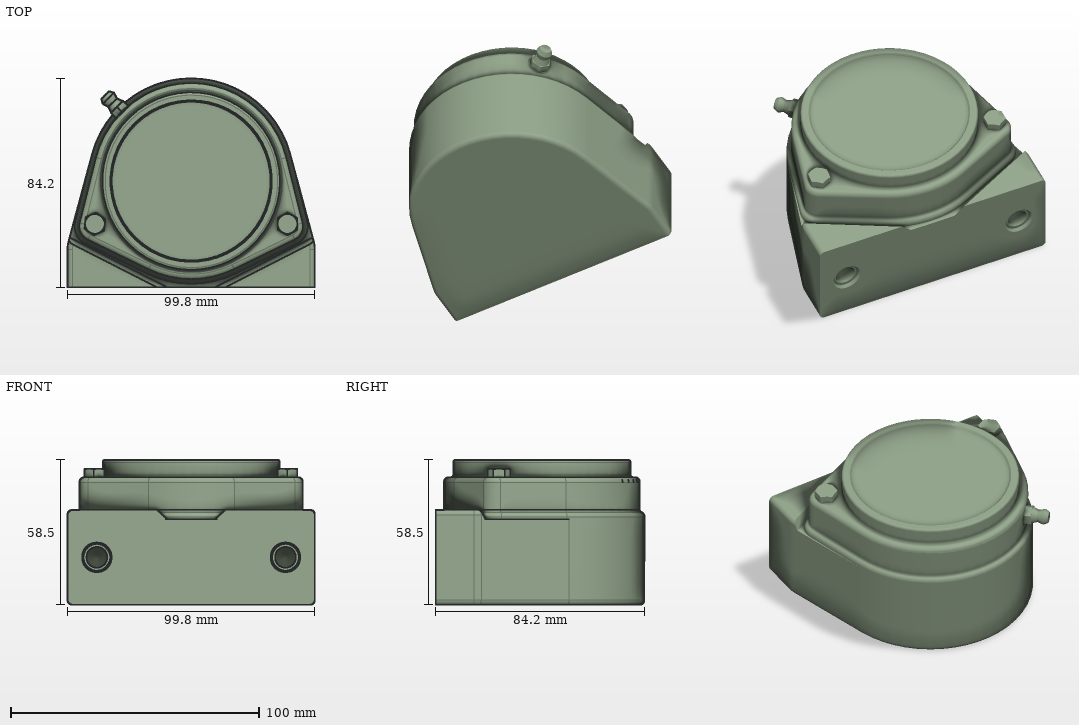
import cadquery as cq
import math


HOUSING_WIDTH = 99.8
HOUSING_HEIGHT = 38.3
BACK_RADIUS = 41.4
MOUNTING_FACE_Y = -42.8
HOUSING_FLANK_ANGLE = 15.1
SHOULDER_BLEND = 11.0
HOUSING_EDGE_ROUND = 2.0

LEDGE_Z = 34.5
RECESS_ANGLE = 27.0
LEDGE_DISTANCE = 42.5
RIM_DISTANCE = 44.4

FLARE_WIDTH = 1.9
FLARE_STRAIGHT = 1.0
FLARE_CONVEX_HEIGHT = 1.8

COVER_RADIUS = BACK_RADIUS - FLARE_WIDTH
COVER_CORNER_RADIUS = 6.0
FLANK_NORMAL = 14.0
FRONT_NORMAL = -64.0
COVER_TOP_Z = 51.5
COVER_EDGE_ROUND = 2.1
BOSS_DIAMETER = 71.6
BOSS_TOP_Z = 58.5
BOSS_TOP_ROUND = 1.0
BOSS_BASE_ROUND = 0.9

CAP_DIAMETER = 64.0
CAP_THICKNESS = 3.0
CAP_SINK = 0.6

MOUNT_HOLE_X = 38.0
MOUNT_HOLE_Z = HOUSING_HEIGHT / 2
MOUNT_DRILL_DIAMETER = 8.4
MOUNT_STEP_DIAMETER = 10.8
MOUNT_MOUTH_DIAMETER = 12.0
MOUNT_STEP_DEPTH = 1.5
MOUNT_DRILL_DEPTH = 20.0
DRILL_POINT_ANGLE = 118.0

HEXAGON_SIDES = 6
BOLT_ACROSS_FLATS = 8.0
BOLT_HEAD_HEIGHT = 3.4
BOLT_HEAD_CHAMFER = 0.3
BOLT_SHANK_DIAMETER = 5.0
BOLT_SHANK_LENGTH = 25.0
BOLT_X = 38.8
BOLT_Y = -17.3
BOLTS = [((-BOLT_X, BOLT_Y), -6.0), ((BOLT_X, BOLT_Y), 0.0)]

NIPPLE_DIRECTION = 135.0
NIPPLE_Z = (HOUSING_HEIGHT + COVER_TOP_Z) / 2
NIPPLE_SEAT_DISTANCE = 39.1
NIPPLE_SEAT_DIAMETER = 9.8
NIPPLE_ACROSS_FLATS = 7.0
NIPPLE_HEX_LENGTH = 3.2
NIPPLE_COLLAR_DIAMETER = 6.7
NIPPLE_NECK_DIAMETER = 5.0
NIPPLE_BULGE_DIAMETER = 6.5
NIPPLE_TIP_DIAMETER = 4.6
NIPPLE_NECK_LENGTH = 2.4
NIPPLE_BULGE_LENGTH = 2.5
NIPPLE_TIP_LENGTH = 1.8
NIPPLE_STEM_DIAMETER = 6.0
NIPPLE_STEM_LENGTH = 5.0


def polar(radius, angle):
    """Point at a radius and an angle in degrees from +X."""
    a = math.radians(angle)
    return (radius * math.cos(a), radius * math.sin(a))


def add(p, q):
    return (p[0] + q[0], p[1] + q[1])


def mirrored(p):
    return (-p[0], p[1])


def across_corners(across_flats):
    """Corner-to-corner size of a hexagon."""
    return across_flats / math.cos(math.pi / HEXAGON_SIDES)


def cover_corner_center():
    """Center of the +X corner arc, tangent to the flank and to the front side."""
    distance = COVER_RADIUS - COVER_CORNER_RADIUS
    half_turn = (FLANK_NORMAL - FRONT_NORMAL) / 2
    middle = (FLANK_NORMAL + FRONT_NORMAL) / 2
    return polar(distance / math.cos(math.radians(half_turn)), middle)


def cover_outline(z):
    """Cover outline: back and front arcs about the axis, joined by flanks and two rounded corners."""
    radius = COVER_RADIUS
    corner = COVER_CORNER_RADIUS
    center = cover_corner_center()
    back_end = polar(radius, FLANK_NORMAL)
    corner_start = add(center, polar(corner, FLANK_NORMAL))
    corner_middle = add(center, polar(corner, (FLANK_NORMAL + FRONT_NORMAL) / 2))
    corner_end = add(center, polar(corner, FRONT_NORMAL))
    front_start = polar(radius, FRONT_NORMAL)
    return (
        cq.Workplane("XY", origin=(0, 0, z))
        .moveTo(*back_end)
        .lineTo(*corner_start)
        .threePointArc(corner_middle, corner_end)
        .lineTo(*front_start)
        .threePointArc((0, -radius), mirrored(front_start))
        .lineTo(*mirrored(corner_end))
        .threePointArc(mirrored(corner_middle), mirrored(corner_start))
        .lineTo(*mirrored(back_end))
        .threePointArc((0, radius), back_end)
        .close()
    )


def housing_block():
    """Block with a flat mounting face, leaning flanks and a round back."""
    half = HOUSING_WIDTH / 2
    lean = math.radians(HOUSING_FLANK_ANGLE)
    shoulder_y = (BACK_RADIUS - half * math.cos(lean)) / math.sin(lean)
    back_start = polar(BACK_RADIUS, HOUSING_FLANK_ANGLE)
    block = (
        cq.Workplane("XY")
        .moveTo(-half, MOUNTING_FACE_Y)
        .lineTo(half, MOUNTING_FACE_Y)
        .lineTo(half, shoulder_y)
        .lineTo(*back_start)
        .threePointArc((0, BACK_RADIUS), mirrored(back_start))
        .lineTo(-half, shoulder_y)
        .close()
        .extrude(HOUSING_HEIGHT)
    )
    for side in (-1, 1):
        shoulder = cq.selectors.NearestToPointSelector((side * half, shoulder_y, HOUSING_HEIGHT / 2))
        block = block.edges("|Z").edges(shoulder).fillet(SHOULDER_BLEND)
    return block.faces("<Z or >Z").edges("not <Y").fillet(HOUSING_EDGE_ROUND)


def seat_recess():
    """Space above the ledge, with a sloped wall along both front sides of the cover."""
    depth = HOUSING_HEIGHT - LEDGE_Z
    wall_lean = math.degrees(math.atan((RIM_DISTANCE - LEDGE_DISTANCE) / depth))
    front = math.radians(RECESS_ANGLE)
    apex_y = -LEDGE_DISTANCE / math.cos(front)
    side_y = apex_y + HOUSING_WIDTH * math.tan(front)
    return (
        cq.Workplane("XY", origin=(0, 0, LEDGE_Z))
        .moveTo(0, apex_y)
        .lineTo(HOUSING_WIDTH, side_y)
        .lineTo(HOUSING_WIDTH, HOUSING_WIDTH)
        .lineTo(-HOUSING_WIDTH, HOUSING_WIDTH)
        .lineTo(-HOUSING_WIDTH, side_y)
        .close()
        .extrude(depth, taper=-wall_lean)
    )


def cover_seat():
    """Pad under the cover whose edge flares out through a concave and a convex arc."""
    foot_z = LEDGE_Z + FLARE_STRAIGHT
    joint = 2 * math.atan(FLARE_WIDTH / (HOUSING_HEIGHT - foot_z))
    joint_z = foot_z + FLARE_CONVEX_HEIGHT
    convex = FLARE_CONVEX_HEIGHT / math.sin(joint)
    concave = (HOUSING_HEIGHT - joint_z) / math.sin(joint)
    joint_out = COVER_RADIUS + concave * (1 - math.cos(joint))
    convex_middle = (BACK_RADIUS - convex * (1 - math.cos(joint / 2)), foot_z + convex * math.sin(joint / 2))
    concave_middle = (
        COVER_RADIUS + concave * (1 - math.cos(joint / 2)),
        HOUSING_HEIGHT - concave * math.sin(joint / 2),
    )
    inner = COVER_RADIUS - FLARE_WIDTH
    side_plane = cq.Plane(
        origin=(0, 0, 0),
        xDir=(*polar(1, FLANK_NORMAL), 0),
        normal=(*polar(1, FLANK_NORMAL - 90.0), 0),
    )
    flare = (
        cq.Workplane(side_plane)
        .moveTo(inner, LEDGE_Z)
        .lineTo(BACK_RADIUS, LEDGE_Z)
        .lineTo(BACK_RADIUS, foot_z)
        .threePointArc(convex_middle, (joint_out, joint_z))
        .threePointArc(concave_middle, (COVER_RADIUS, HOUSING_HEIGHT))
        .lineTo(inner, HOUSING_HEIGHT)
        .close()
        .sweep(cover_outline(LEDGE_Z))
    )
    core = cover_outline(LEDGE_Z).extrude(HOUSING_HEIGHT - LEDGE_Z)
    return core.union(flare)


def mounting_hole(x):
    """Drilled hole with a pointed bottom, a step and a chamfered mouth."""
    drill = MOUNT_DRILL_DIAMETER / 2
    step = MOUNT_STEP_DIAMETER / 2
    mouth = MOUNT_MOUTH_DIAMETER / 2
    point = drill / math.tan(math.radians(DRILL_POINT_ANGLE / 2))
    return (
        cq.Workplane("XY")
        .polyline([
            (0, 0),
            (mouth, 0),
            (step, mouth - step),
            (step, MOUNT_STEP_DEPTH),
            (drill, MOUNT_STEP_DEPTH),
            (drill, MOUNT_DRILL_DEPTH),
            (0, MOUNT_DRILL_DEPTH + point),
        ])
        .close()
        .revolve(360, (0, 0, 0), (0, 1, 0))
        .translate((x, MOUNTING_FACE_Y, MOUNT_HOLE_Z))
    )


def bolt_shank(center):
    return (
        cq.Workplane("XY", origin=(*center, COVER_TOP_Z))
        .circle(BOLT_SHANK_DIAMETER / 2)
        .extrude(-BOLT_SHANK_LENGTH)
    )


def make_bolt(center, turn):
    """Hexagon bolt with chamfered head corners."""
    corners = across_corners(BOLT_ACROSS_FLATS)
    head = (
        cq.Workplane("XY")
        .polygon(HEXAGON_SIDES, corners)
        .extrude(BOLT_HEAD_HEIGHT)
        .rotate((0, 0, 0), (0, 0, 1), 180.0 / HEXAGON_SIDES + turn)
    )
    chamfer_cone = cq.Workplane("XY").circle(corners / 2).extrude(BOLT_HEAD_HEIGHT)
    chamfer_cone = chamfer_cone.faces(">Z").chamfer(BOLT_HEAD_CHAMFER, (corners - BOLT_ACROSS_FLATS) / 2)
    head = head.intersect(chamfer_cone).translate((*center, COVER_TOP_Z))
    return head.union(bolt_shank(center))


def nipple_plane():
    """Plane on the spot face, with its normal along the nipple and its local X along +Z."""
    x, y = polar(NIPPLE_SEAT_DISTANCE, NIPPLE_DIRECTION)
    return cq.Plane(origin=(x, y, NIPPLE_Z), xDir=(0, 0, 1), normal=(*polar(1, NIPPLE_DIRECTION), 0))


def nipple_stem():
    return cq.Workplane(nipple_plane()).circle(NIPPLE_STEM_DIAMETER / 2).extrude(-NIPPLE_STEM_LENGTH)


def make_nipple():
    """Grease nipple: stem, hexagon with a corner pointing up, neck and bulged tip."""
    plane = nipple_plane()
    corners = across_corners(NIPPLE_ACROSS_FLATS)
    hexagon = cq.Workplane(plane).polygon(HEXAGON_SIDES, corners).extrude(NIPPLE_HEX_LENGTH)
    neck_end = NIPPLE_HEX_LENGTH + NIPPLE_NECK_LENGTH
    bulge_end = neck_end + NIPPLE_BULGE_LENGTH
    tip_end = bulge_end + NIPPLE_TIP_LENGTH
    profile_plane = cq.Plane(origin=plane.origin, xDir=plane.xDir, normal=-plane.yDir)
    tip = (
        cq.Workplane(profile_plane)
        .polyline([
            (0, 0),
            (NIPPLE_COLLAR_DIAMETER / 2, 0),
            (NIPPLE_COLLAR_DIAMETER / 2, NIPPLE_HEX_LENGTH),
            (NIPPLE_NECK_DIAMETER / 2, neck_end),
            (NIPPLE_BULGE_DIAMETER / 2, bulge_end),
            (NIPPLE_TIP_DIAMETER / 2, tip_end),
            (0, tip_end),
        ])
        .close()
        .revolve(360, (0, 0, 0), (0, 1, 0))
    )
    return hexagon.union(tip).union(nipple_stem())


def make_housing():
    housing = housing_block().cut(seat_recess()).union(cover_seat())
    for side in (-1, 1):
        housing = housing.cut(mounting_hole(side * MOUNT_HOLE_X))
    for center, _ in BOLTS:
        housing = housing.cut(bolt_shank(center))
    return housing


def make_cap():
    return (
        cq.Workplane("XY", origin=(0, 0, BOSS_TOP_Z - CAP_SINK))
        .circle(CAP_DIAMETER / 2)
        .extrude(-CAP_THICKNESS)
    )


def make_cover():
    """Flange plate with a round boss, a chamfered bore for the cap and the nipple's spot face."""
    plate = cover_outline(HOUSING_HEIGHT).extrude(COVER_TOP_Z - HOUSING_HEIGHT)
    plate = plate.faces(">Z").edges().fillet(COVER_EDGE_ROUND)
    boss_radius = BOSS_DIAMETER / 2
    boss = (
        cq.Workplane("XY", origin=(0, 0, COVER_TOP_Z))
        .circle(boss_radius)
        .extrude(BOSS_TOP_Z - COVER_TOP_Z)
        .faces(">Z")
        .edges()
        .fillet(BOSS_TOP_ROUND)
    )
    cover = plate.union(boss)
    reach = boss_radius + BOSS_BASE_ROUND
    boss_base = cq.selectors.BoxSelector(
        (-reach, -reach, COVER_TOP_Z - BOSS_BASE_ROUND),
        (reach, reach, COVER_TOP_Z + BOSS_BASE_ROUND),
        boundingbox=True,
    )
    cover = cover.edges(boss_base).fillet(BOSS_BASE_ROUND)
    cap_bore = (
        cq.Workplane("XY", origin=(0, 0, BOSS_TOP_Z))
        .circle(CAP_DIAMETER / 2)
        .extrude(-CAP_SINK - CAP_THICKNESS)
    )
    cover = cover.cut(cap_bore)
    bore_rim = cq.selectors.RadiusNthSelector(0)
    cover = cover.faces(">Z").edges(bore_rim).chamfer(CAP_SINK)
    for center, _ in BOLTS:
        cover = cover.cut(bolt_shank(center))
    spot_face = cq.Workplane(nipple_plane()).circle(NIPPLE_SEAT_DIAMETER / 2).extrude(NIPPLE_HEX_LENGTH)
    return cover.cut(spot_face).cut(nipple_stem())


housing = make_housing()
cover = make_cover()
cap = make_cap()
bolts = [make_bolt(center, turn) for center, turn in BOLTS]
nipple = make_nipple()

result = cq.Compound.makeCompound([
    housing.val(),
    cover.val(),
    cap.val(),
    *[bolt.val() for bolt in bolts],
    nipple.val(),
])